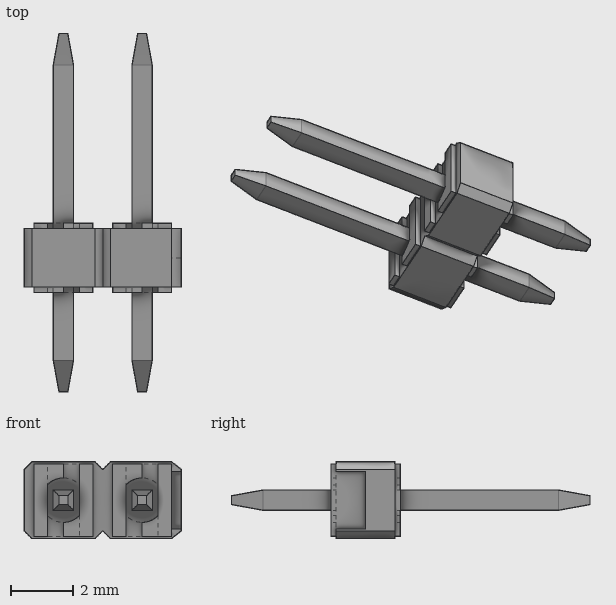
import cadquery as cq
import math


pin_count = 2
pin_length = 11.56
housing_row_width = 5.07
pitch = housing_row_width / pin_count
housing_height = 2.49
housing_depth = 1.9
pin_back_end = pin_length / 2
housing_back = -0.51
housing_front = housing_back - housing_depth

chamfer = 0.25

pin_width = 0.66
pin_tip_width = 0.29
pin_taper_length = 1.02

pad_thickness = 0.17
pad_half_width = 0.95
pad_half_height = 1.17
pad_inner_edge = 0.52
pin_clearance_radius = 0.72

row_end = housing_row_width / 2
end_pocket_width = pitch / 2 - pad_half_width
end_pocket_height = housing_height - 2 * end_pocket_width
end_pocket_depth = housing_depth / 2

pin_positions = [(i - (pin_count - 1) / 2) * pitch for i in range(pin_count)]


def extrude_along_y(points, front, back):
    """Extrude a closed (x, z) outline from front to back along Y."""
    return cq.Workplane("XZ", origin=(0, back, 0)).polyline(points).close().extrude(back - front)


def make_housing(center_x, right_chamfer_width):
    """One chamfered housing block; only its right chamfer width varies."""
    left = center_x - pitch / 2
    right = center_x + pitch / 2
    top = housing_height / 2
    shoulder = top - chamfer
    outline = [
        (left, -shoulder),
        (left, shoulder),
        (left + chamfer, top),
        (right - right_chamfer_width, top),
        (right, shoulder),
        (right, -shoulder),
        (right - right_chamfer_width, -top),
        (left + chamfer, -top),
    ]
    return extrude_along_y(outline, housing_front, housing_back)


def make_end_pocket():
    return cq.Workplane("XY").box(
        end_pocket_width, end_pocket_depth, end_pocket_height, centered=(False, False, True)
    ).translate((row_end - end_pocket_width, housing_front, 0))


def make_front_pads():
    """Two L-shaped pads around a pin at X = 0, hollowed by an arc about the pin."""
    arc_end_z = math.sqrt(pin_clearance_radius**2 - pad_inner_edge**2)
    arc_mid_angle = (math.atan2(arc_end_z, -pad_inner_edge) + math.pi / 2) / 2
    arc_middle = (
        pin_clearance_radius * math.cos(arc_mid_angle),
        pin_clearance_radius * math.sin(arc_mid_angle),
    )
    left_pad = (
        cq.Workplane("XZ", origin=(0, housing_front, 0))
        .moveTo(-pad_half_width, -pad_half_height)
        .lineTo(-pad_half_width, pad_half_height)
        .lineTo(0, pad_half_height)
        .lineTo(0, pin_clearance_radius)
        .threePointArc(arc_middle, (-pad_inner_edge, arc_end_z))
        .lineTo(-pad_inner_edge, -pad_half_height)
        .close()
        .extrude(pad_thickness)
    )
    right_pad = left_pad.rotate((0, 0, 0), (0, 1, 0), 180)
    return [left_pad, right_pad]


def make_pads():
    """Front pads plus the same pair turned half way round Z onto the back face."""
    housing_middle = (housing_front + housing_back) / 2
    front_pads = make_front_pads()
    back_pads = [pad.rotate((0, housing_middle, 0), (0, housing_middle, 1), 180) for pad in front_pads]
    return front_pads + back_pads


def make_pin():
    """Square pin along Y at X = 0 with both ends tapered to a small square tip."""
    shank_half_length = pin_back_end - pin_taper_length
    shank = cq.Workplane("XY").box(pin_width, 2 * shank_half_length, pin_width)
    front_taper = (
        cq.Workplane("XZ", origin=(0, -shank_half_length, 0))
        .rect(pin_width, pin_width)
        .workplane(offset=pin_taper_length)
        .rect(pin_tip_width, pin_tip_width)
        .loft(ruled=True)
    )
    back_taper = front_taper.rotate((0, 0, 0), (0, 0, 1), 180)
    return shank.union(front_taper).union(back_taper)


housings = [make_housing(x, chamfer) for x in pin_positions[:-1]]
housings.append(make_housing(pin_positions[-1], end_pocket_width))

result = housings[0]
for housing in housings[1:]:
    result = result.union(housing)
result = result.cut(make_end_pocket())

pin_parts = make_pads() + [make_pin()]
for x in pin_positions:
    for part in pin_parts:
        result = result.union(part.translate((x, 0, 0)))